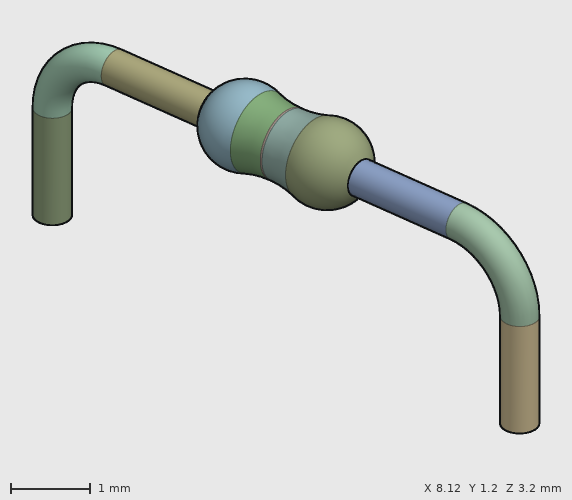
import cadquery as cq
import math

lead_pitch = 7.62
wire_diameter = 0.5
bend_radius = 1.0
axis_height = 2.6

bulb_radius = 0.6
bulb_center_x = 0.67
bulb_edge_x = 0.45
neck_radius = 0.495
neck_half_length = 0.015


def make_wire():
    """Sweep the round wire up one leg, along the body axis and down the other leg."""
    leg_x = lead_pitch / 2
    bend_x = leg_x - bend_radius
    bend_z = axis_height - bend_radius
    path = (
        cq.Workplane("XZ")
        .moveTo(-leg_x, 0)
        .lineTo(-leg_x, bend_z)
        .radiusArc((-bend_x, axis_height), bend_radius)
        .lineTo(bend_x, axis_height)
        .radiusArc((leg_x, bend_z), bend_radius)
        .lineTo(leg_x, 0)
    )
    return cq.Workplane("XY").center(-leg_x, 0).circle(wire_diameter / 2).sweep(path)


def make_body():
    """Revolve two spherical bulbs joined by a neck that flares out to them."""
    bulb_offset = bulb_center_x - bulb_edge_x
    bulb_edge_r = math.sqrt(bulb_radius**2 - bulb_offset**2)
    tip_x = bulb_center_x + bulb_radius

    flare_length = bulb_edge_x - neck_half_length
    flare_rise = bulb_edge_r - neck_radius
    flare_radius = (flare_length**2 + flare_rise**2) / (2 * flare_rise)

    profile = (
        cq.Workplane("XY")
        .moveTo(-tip_x, 0)
        .threePointArc((-bulb_center_x, bulb_radius), (-bulb_edge_x, bulb_edge_r))
        .radiusArc((-neck_half_length, neck_radius), -flare_radius)
        .lineTo(neck_half_length, neck_radius)
        .radiusArc((bulb_edge_x, bulb_edge_r), -flare_radius)
        .threePointArc((bulb_center_x, bulb_radius), (tip_x, 0))
        .close()
    )
    body = profile.revolve(360, (0, 0, 0), (1, 0, 0))
    return body.translate((0, 0, axis_height))


result = make_wire().union(make_body())